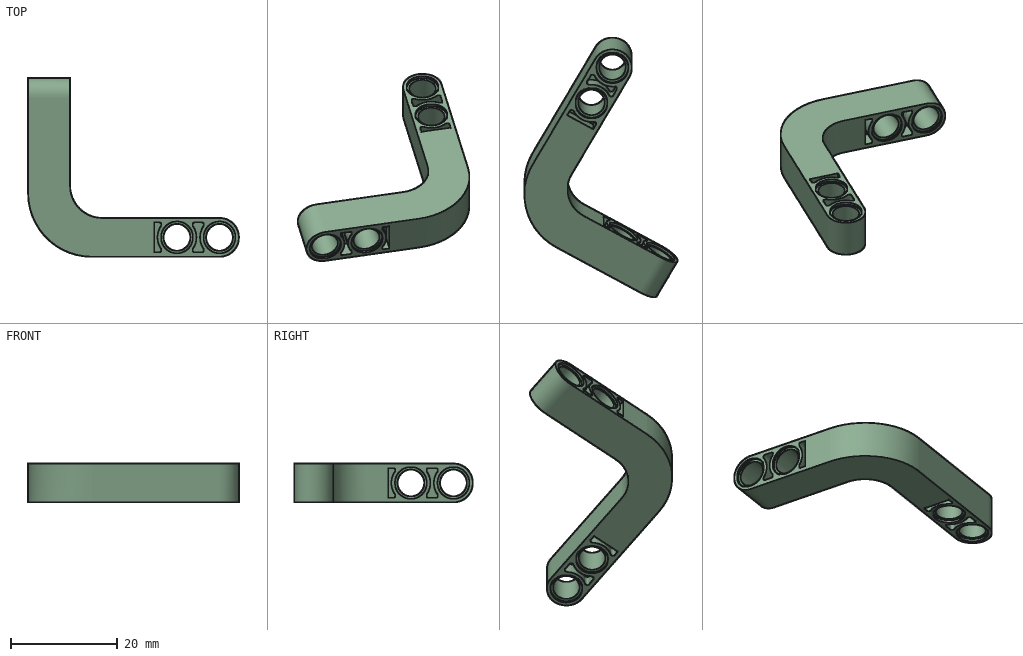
import cadquery as cq

length_x = 39.7
length_y = 33.65
thickness = 7.35
arm_y_width = 7.95
end_radius = thickness / 2
mid_z = thickness / 2

outer_bend_radius = 12.0
inner_bend_radius = 6.0

pitch = 8.0
hole_diameter = 5.0
counterbore_diameter = 6.0
counterbore_depth = 0.5

pocket_height = 5.6
pocket_depth = 3.0
pocket_overhang = 1.05
collar_radius = end_radius
pocket_corner_radius = 0.35
half_pocket_reach = 4.3


def make_body():
    """L-shaped beam with a rounded bend and a half-round tip on each arm."""
    body = (
        cq.Workplane("XY")
        .moveTo(0, 0)
        .lineTo(length_x, 0)
        .lineTo(length_x, thickness)
        .lineTo(arm_y_width, thickness)
        .lineTo(arm_y_width, length_y)
        .lineTo(0, length_y)
        .close()
        .extrude(thickness)
    )
    outer_corner = (0, 0, mid_z)
    body = body.edges(cq.selectors.NearestToPointSelector(outer_corner)).fillet(outer_bend_radius)
    inner_corner = (arm_y_width, thickness, mid_z)
    body = body.edges(cq.selectors.NearestToPointSelector(inner_corner)).fillet(inner_bend_radius)

    trim_block = cq.Workplane("XY").box(
        length_x - end_radius,
        length_y - end_radius,
        thickness,
        centered=False,
    )
    tip_x = (
        cq.Workplane("XY")
        .center(length_x - end_radius, end_radius)
        .circle(end_radius)
        .extrude(thickness)
    )
    tip_y = (
        cq.Workplane("YZ")
        .center(length_y - end_radius, mid_z)
        .circle(end_radius)
        .extrude(arm_y_width)
    )
    return body.intersect(trim_block).union(tip_x).union(tip_y)


def make_pocket(inner_wall):
    """Pocket with its top at Z = 0, between collars at X = 0 and X = pitch, starting at X = inner_wall."""
    outer_wall = pitch / 2 + pocket_overhang
    blank = (
        cq.Workplane("XY")
        .center((inner_wall + outer_wall) / 2, 0)
        .rect(outer_wall - inner_wall, pocket_height)
        .extrude(-pocket_depth)
    )
    collars = (
        cq.Workplane("XY")
        .pushPoints([(0, 0), (pitch, 0)])
        .circle(collar_radius)
        .extrude(-pocket_depth)
    )
    return blank.cut(collars)


def make_face_cuts():
    """Cuts for one face: outer hole at the origin, arm running along -X, face at Z = 0."""
    counterbores = (
        cq.Workplane("XY")
        .pushPoints([(0, 0), (-pitch, 0)])
        .circle(counterbore_diameter / 2)
        .extrude(-counterbore_depth)
    )
    full_pocket = make_pocket(pitch / 2 - pocket_overhang).edges("|Z").fillet(pocket_corner_radius)
    end_pocket = make_pocket(pitch - half_pocket_reach)
    end_pocket = end_pocket.edges("|Z and (not <X)").fillet(pocket_corner_radius)
    return (
        counterbores
        .union(full_pocket.translate((-pitch, 0, 0)))
        .union(end_pocket.translate((-2 * pitch, 0, 0)))
    )


def make_arm_cuts(depth):
    """Cuts for a whole arm, symmetric about Z = 0, for holes of the given length."""
    face_cuts = make_face_cuts().translate((0, 0, depth / 2))
    holes = (
        cq.Workplane("XY")
        .workplane(offset=-depth / 2)
        .pushPoints([(0, 0), (-pitch, 0)])
        .circle(hole_diameter / 2)
        .extrude(depth)
    )
    return holes.union(face_cuts).union(face_cuts.mirror("XY"))


cuts_x = make_arm_cuts(thickness).translate((length_x - end_radius, end_radius, mid_z))

arm_y_frame = cq.Plane(
    origin=(arm_y_width / 2, length_y - end_radius, mid_z),
    xDir=(0, 1, 0),
    normal=(1, 0, 0),
)
cuts_y = make_arm_cuts(arm_y_width).val().moved(cq.Location(arm_y_frame))

result = make_body().cut(cuts_x).cut(cq.Workplane(cuts_y))